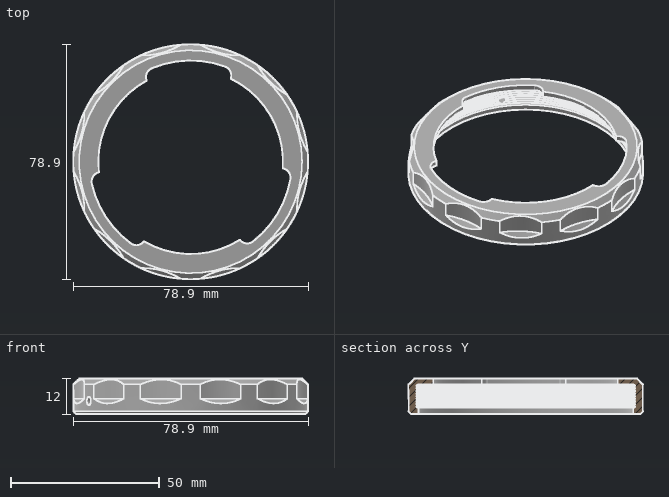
import cadquery as cq
import math

outer_radius = 39.45
height = 12.0
top_chamfer = 2.05
bottom_chamfer = 0.95

lip_radius = 30.9
lip_height = 2.05
entry_diameter = 72.0
entry_radius = entry_diameter / 2
entry_height = 2.05
thread_count = 9
thread_pitch = (height - lip_height - entry_height) / thread_count
thread_flank_angle = 30.0
thread_depth = thread_pitch / 2 / math.tan(math.radians(thread_flank_angle))
thread_root_radius = entry_radius + thread_depth

notch_radius = 33.9
notch_corner_radius = 3.15
notch_spans = [(64.3, 118.4), (186.6, 239.6), (302.2, 355.9)]

scallop_count = 12
scallop_radius = 25.25
scallop_depth = 1.65
scallop_floor = 5.2

hole_diameter = 2.8
hole_height = 4.4
hole_angle = 210.0


def make_body():
    """Chamfered ring with the stepped and grooved bore, as one revolved profile."""
    lip_bottom = height - lip_height
    profile = (
        cq.Workplane("XZ")
        .moveTo(lip_radius, height)
        .lineTo(outer_radius - top_chamfer, height)
        .lineTo(outer_radius, height - top_chamfer)
        .lineTo(outer_radius, bottom_chamfer)
        .lineTo(outer_radius - bottom_chamfer, 0)
        .lineTo(entry_radius, 0)
        .lineTo(entry_radius, entry_height)
    )
    for turn in range(thread_count):
        turn_bottom = entry_height + turn * thread_pitch
        profile = profile.lineTo(thread_root_radius, turn_bottom + thread_pitch / 2)
        profile = profile.lineTo(entry_radius, turn_bottom + thread_pitch)
    profile = profile.lineTo(lip_radius, lip_bottom)
    return profile.close().revolve(360, (0, 0), (0, 1))


def polar(radius, angle):
    return (radius * math.cos(math.radians(angle)), radius * math.sin(math.radians(angle)))


def make_notch(start_angle, end_angle):
    """Ring sector through the lip with rounded outer corners."""
    middle_angle = (start_angle + end_angle) / 2
    corner_center_radius = notch_radius - notch_corner_radius
    corner_angle = math.degrees(math.asin(notch_corner_radius / corner_center_radius))
    base = cq.Workplane("XY", origin=(0, 0, height - lip_height))
    first_center = polar(corner_center_radius, start_angle + corner_angle)
    last_center = polar(corner_center_radius, end_angle - corner_angle)
    first_tangent = polar(notch_radius, start_angle + corner_angle)
    last_tangent = polar(notch_radius, end_angle - corner_angle)
    sector = (
        base.moveTo(0, 0)
        .lineTo(*first_tangent)
        .threePointArc(polar(notch_radius, middle_angle), last_tangent)
        .close()
        .extrude(lip_height)
    )
    corners = base.pushPoints([first_center, last_center]).circle(notch_corner_radius).extrude(lip_height)
    return sector.union(corners)


def make_scallop():
    """Upright cutter on the +X side with a 45 degree cone below its floor line."""
    axis_distance = outer_radius - scallop_depth + scallop_radius
    return (
        cq.Workplane("XZ")
        .moveTo(0, height)
        .lineTo(scallop_radius, height)
        .lineTo(scallop_radius, scallop_floor)
        .lineTo(scallop_radius - scallop_floor, 0)
        .lineTo(0, 0)
        .close()
        .revolve(360, (0, 0), (0, 1))
        .translate((axis_distance, 0, 0))
    )


def make_hole():
    return (
        cq.Workplane("YZ", origin=(lip_radius, 0, hole_height))
        .circle(hole_diameter / 2)
        .extrude(outer_radius - lip_radius)
        .rotate((0, 0, 0), (0, 0, 1), hole_angle)
    )


result = make_body()

for start_angle, end_angle in notch_spans:
    result = result.cut(make_notch(start_angle, end_angle))

scallop_step = 360 / scallop_count
for index in range(scallop_count):
    angle = (index + 0.5) * scallop_step
    result = result.cut(make_scallop().rotate((0, 0, 0), (0, 0, 1), angle))

result = result.cut(make_hole())